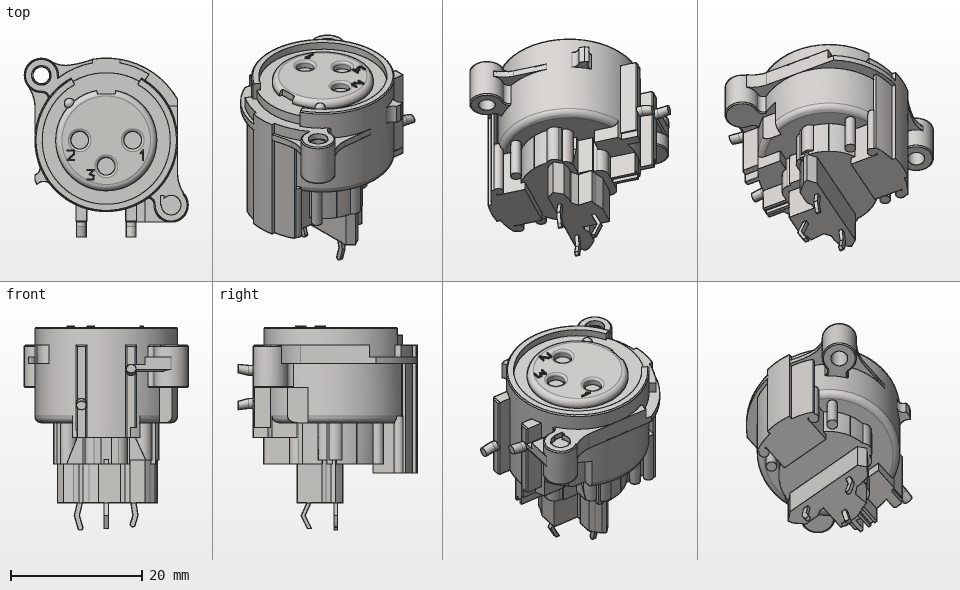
import cadquery as cq
import math


BARREL_R = 10.9
BARREL_BOTTOM = -14.55
BARREL_EDGE_R = 1.03
UNDERSIDE_TOP = BARREL_BOTTOM + BARREL_EDGE_R
RIM_INNER_R = 9.77
RIM_EDGE_R = 0.2
FLOOR_Z = -1.18
REAR_LEDGE_R = 10.3
RIM_GAP_HALF_ANGLE = math.radians(29.5)

EAR_OFFSET = 9.9
EAR_R = 2.6
EAR_TOP = -2.7
EAR_BOTTOM = -9.2
EAR_EDGE = 0.2
NECK_INNER_X = 9.33
EAR_SEAT_R = 10.73
NECK_FILLET = 0.93
EAR_BORE_R = 1.28
EAR_COUNTERBORE_R = 1.5
EAR_COUNTERBORE_DEPTH = 0.9
WEB_TOP = -4.5
WEB_BOTTOM = -5.55

SKIRT_R = 11.98
SKIRT_OUTER_R = 12.55
SKIRT_BOTTOM = -22.25
SKIRT_HALF_WIDTH = 5.38
SKIRT_FRONT_Y = 5.75
TONGUE_HALF_WIDTH = 2.1

DISC_R = 7.7
DISC_EDGE_R = 0.95
DISC_FLAT_Y = 7.05
DISC_FLAT_HALF_WIDTH = 1.35
BUMP_R = 0.8
BUMP_CENTRE_R = 7.9
CONTACT_HOLE_R = 1.35
CONTACT_LIP_R = 0.4
CONTACT_X = 4.05
CONTACT_FRONT_Y = -3.98
MARK_HEIGHT = 0.2

RIB_FACE_Y = -(EAR_OFFSET + EAR_R)
RIB_TOP = EAR_TOP
RIB_X = 3.8
RIB_WIDTH = 1.68
RIB_BACK_Y = -9.33
RIB_EDGE = 0.22
PEG_R = 0.78
PEG_TIP_HALF_HEIGHT = 0.65
PEG_END_Y = -14.78
PEG_BEND_Y = -13.2

FRONT_WALL_BOTTOM = -16.83
FRONT_WALL_HALF_WIDTH = 5.13
FRONT_WALL_BACK_Y = -5.8
INSERT_BOTTOM = -20.85
INSERT_R = 7.6
LEFT_LOBE_BOTTOM = INSERT_BOTTOM
RIGHT_LOBE_BOTTOM = -20.25
BLOCK_BOTTOM = -26.75
CORE_HALF_WIDTH = 3.55


def box(x0, x1, y0, y1, z0, z1):
    return cq.Workplane("XY").box(x1 - x0, y1 - y0, z1 - z0, centered=False).translate((x0, y0, z0))


def disc(radius, z0, z1, x=0.0, y=0.0):
    return cq.Workplane("XY").workplane(offset=z0).center(x, y).circle(radius).extrude(z1 - z0)


def prism(points, z0, z1):
    return cq.Workplane("XY").workplane(offset=z0).polyline(points).close().extrude(z1 - z0)


def polar(radius, angle):
    return (radius * math.cos(angle), radius * math.sin(angle))


def make_barrel():
    body = disc(BARREL_R, BARREL_BOTTOM, 0).faces("<Z").edges().fillet(BARREL_EDGE_R)
    body = body.faces(">Z").edges().chamfer(RIM_EDGE_R)
    body = body.cut(disc(RIM_INNER_R, FLOOR_Z, 0.3))
    reach = 2 * BARREL_R
    a0 = math.pi / 2 - RIM_GAP_HALF_ANGLE
    a1 = math.pi / 2 + RIM_GAP_HALF_ANGLE
    wedge = [(0, 0), polar(reach, a0), polar(reach, a1)]
    body = body.cut(prism(wedge, FLOOR_Z, 0.3))
    outside_ledge = disc(reach, EAR_TOP, 0.3).cut(disc(REAR_LEDGE_R, EAR_TOP, 0.3))
    body = body.cut(outside_ledge.intersect(prism(wedge, EAR_TOP, 0.3)))
    front = box(-FRONT_WALL_HALF_WIDTH, FRONT_WALL_HALF_WIDTH, -BARREL_R, FRONT_WALL_BACK_Y,
                FRONT_WALL_BOTTOM, UNDERSIDE_TOP)
    return body.union(front.intersect(disc(BARREL_R, FRONT_WALL_BOTTOM, 0)))


def cut_corner_recess(body):
    """Open recess in the lower front-right quarter of the barrel."""
    recess_left, recess_right, recess_back = 8.12, 10.08, -4.17
    return body.cut(box(recess_left, recess_right, -BARREL_R, recess_back, BARREL_BOTTOM - 0.3, EAR_BOTTOM))


def make_socket_disc():
    body = disc(DISC_R, FLOOR_Z, 0).faces(">Z").edges().fillet(DISC_EDGE_R)
    half = DISC_FLAT_HALF_WIDTH
    flare = 0.25
    outer_y = DISC_R + 0.3
    keyway = [(-half, DISC_FLAT_Y), (half, DISC_FLAT_Y), (half + flare, outer_y), (-half - flare, outer_y)]
    body = body.cut(prism(keyway, FLOOR_Z, 0.3))
    bump_x, bump_y = polar(BUMP_CENTRE_R, math.radians(135))
    bump_z = FLOOR_Z + 0.25
    bump = disc(BUMP_R, FLOOR_Z, bump_z, bump_x, bump_y)
    bump = bump.union(cq.Workplane("XY").sphere(BUMP_R).translate((bump_x, bump_y, bump_z)))
    bump = bump.intersect(disc(BARREL_R, FLOOR_Z, 0))
    return body.union(bump)


def cut_contact_holes(body):
    for x, y in [(-CONTACT_X, 0), (CONTACT_X, 0), (0, CONTACT_FRONT_Y)]:
        r = CONTACT_HOLE_R
        lip = CONTACT_LIP_R
        mid = lip * (1 - math.sqrt(0.5))
        profile = (
            cq.Workplane("XZ")
            .moveTo(0, FLOOR_Z)
            .lineTo(r, FLOOR_Z)
            .lineTo(r, -lip)
            .threePointArc((r + mid, -mid), (r + lip, 0))
            .lineTo(0, 0)
            .close()
        )
        body = body.cut(profile.revolve(360, (0, 0, 0), (0, 1, 0)).translate((x, y, 0)))
    return body


def make_stroke(points, width):
    """Raised line of the given width through the points, on the disc face."""
    stroke = None
    for (x0, y0), (x1, y1) in zip(points, points[1:]):
        length = math.hypot(x1 - x0, y1 - y0) + width
        angle = math.degrees(math.atan2(y1 - y0, x1 - x0))
        bar = (
            cq.Workplane("XY")
            .box(length, width, 2 * MARK_HEIGHT)
            .rotate((0, 0, 0), (0, 0, 1), angle)
            .translate(((x0 + x1) / 2, (y0 + y1) / 2, 0))
        )
        stroke = bar if stroke is None else stroke.union(bar)
    return stroke


def make_contact_marks():
    """Raised numerals 1, 2 and 3 beside the contact holes."""
    line_width, w, h = 0.15, 0.95, 1.43
    one = [(0, 0.7 * h), (0.35 * w, h), (0.35 * w, 0)]
    two = [(0, h), (w, h), (w, 0.6 * h), (0, 0), (w, 0)]
    three = [(0, h), (w, h), (0.4 * w, 0.55 * h), (w, 0.4 * h), (w, 0), (0, 0)]
    marks = None
    for points, x, y in [(one, 5.25, -3.0), (two, -5.88, -3.0), (three, -2.9, -5.97)]:
        mark = make_stroke(points, line_width).translate((x, y, 0))
        marks = mark if marks is None else marks.union(mark)
    return marks


def make_ear(side):
    """Ear on the rear-left (side = -1) or front-right (side = 1) corner, blended into the barrel."""
    distance = math.hypot(EAR_OFFSET, EAR_OFFSET)
    to_seat = EAR_SEAT_R + NECK_FILLET
    to_ear = EAR_R + NECK_FILLET
    blend_x = (distance**2 + to_seat**2 - to_ear**2) / (2 * distance)
    blend_y = math.sqrt(to_seat**2 - blend_x**2)
    seat_x = blend_x * EAR_SEAT_R / to_seat
    seat_y = blend_y * EAR_SEAT_R / to_seat
    ear_x = distance + (blend_x - distance) * EAR_R / to_ear
    ear_y = blend_y * EAR_R / to_ear
    waist_y = blend_y - NECK_FILLET
    ear = (
        cq.Workplane("XY")
        .workplane(offset=EAR_BOTTOM)
        .moveTo(seat_x, -seat_y)
        .threePointArc((blend_x, -waist_y), (ear_x, -ear_y))
        .threePointArc((distance + EAR_R, 0), (ear_x, ear_y))
        .threePointArc((blend_x, waist_y), (seat_x, seat_y))
        .lineTo(NECK_INNER_X, 0)
        .close()
        .extrude(EAR_TOP - EAR_BOTTOM)
    )
    outer_edges = cq.selectors.BoxSelector(
        (blend_x, -distance, EAR_BOTTOM - 0.3), (2 * distance, distance, EAR_TOP + 0.3))
    ear = ear.faces("<Z or >Z").edges(outer_edges).chamfer(EAR_EDGE)
    return ear.rotate((0, 0, 0), (0, 0, 1), -45 if side > 0 else 135)


def cut_ear_holes(body):
    ear_x = EAR_OFFSET
    cbore_floor = EAR_TOP - EAR_COUNTERBORE_DEPTH
    body = body.cut(disc(EAR_BORE_R, SKIRT_BOTTOM, 0, -ear_x, ear_x))
    for x in (-ear_x, ear_x):
        body = body.cut(disc(EAR_COUNTERBORE_R, cbore_floor, EAR_TOP, x, -x))
    slot_left, slot_right, slot_back = 8.25, 8.8, -8.45
    return body.cut(box(slot_left, slot_right, -ear_x, slot_back, cbore_floor, EAR_TOP))


def make_left_web():
    """Thin web around the rear-left ear: two concave sides that sweep from body to ear."""
    return (
        cq.Workplane("XY")
        .workplane(offset=WEB_BOTTOM)
        .moveTo(-BARREL_R, 0)
        .lineTo(-BARREL_R, 5.3)
        .threePointArc((-11.17, 6.75), (-11.88, 8.18))
        .lineTo(-EAR_OFFSET, EAR_OFFSET)
        .lineTo(-8.18, 11.88)
        .threePointArc((-7.05, 11.5), (-5.65, 11.45))
        .threePointArc((-3.85, 11.8), (-TONGUE_HALF_WIDTH, 12.32))
        .lineTo(-TONGUE_HALF_WIDTH, 9.33)
        .lineTo(-7.47, 6.22)
        .close()
        .extrude(WEB_TOP - WEB_BOTTOM)
    )


def make_rear_flange():
    """Thin flange that fills the large rear radius up to its flat right side."""
    corner_y = math.sqrt(SKIRT_OUTER_R**2 - BARREL_R**2)
    start_y = math.sqrt(SKIRT_OUTER_R**2 - TONGUE_HALF_WIDTH**2)
    middle = polar(SKIRT_OUTER_R, math.radians(56))
    return (
        cq.Workplane("XY")
        .workplane(offset=WEB_BOTTOM)
        .moveTo(TONGUE_HALF_WIDTH, start_y)
        .threePointArc(middle, (BARREL_R, corner_y))
        .lineTo(BARREL_R, 0)
        .lineTo(6.22, 0)
        .lineTo(TONGUE_HALF_WIDTH, 6.22)
        .close()
        .extrude(WEB_TOP - WEB_BOTTOM)
    )


def make_right_web():
    """Web level with the ear tops: flat right side with a concave sweep to the front ear."""
    back_y = 5.23
    return (
        cq.Workplane("XY")
        .workplane(offset=WEB_BOTTOM)
        .moveTo(BARREL_R, back_y)
        .lineTo(BARREL_R, -5.3)
        .threePointArc((11.17, -6.75), (11.88, -8.18))
        .lineTo(EAR_OFFSET, -EAR_OFFSET)
        .lineTo(6.22, -6.22)
        .lineTo(6.22, back_y)
        .close()
        .extrude(EAR_TOP - WEB_BOTTOM)
    )


def make_skirt():
    wide_front_y, narrow_half_width = 10.27, 4.05
    wide = box(-SKIRT_HALF_WIDTH, SKIRT_HALF_WIDTH, wide_front_y, SKIRT_R, SKIRT_BOTTOM, EAR_TOP)
    narrow = box(-narrow_half_width, narrow_half_width, SKIRT_FRONT_Y, SKIRT_R, SKIRT_BOTTOM, EAR_TOP)
    skirt = wide.union(narrow).intersect(disc(SKIRT_R, SKIRT_BOTTOM, EAR_TOP))
    lobe_r, lobe_x, lobe_y = 0.78, 4.82, 9.77
    for side in (-1, 1):
        skirt = skirt.union(disc(lobe_r, SKIRT_BOTTOM, UNDERSIDE_TOP, side * lobe_x, lobe_y))
    left = polar(2 * SKIRT_R, math.radians(130))
    right = polar(2 * SKIRT_R, math.radians(57))
    collar = disc(SKIRT_R, WEB_BOTTOM, EAR_TOP).intersect(prism([(0, 0), right, left], WEB_BOTTOM, EAR_TOP))
    tongue = box(-TONGUE_HALF_WIDTH, TONGUE_HALF_WIDTH, BARREL_R - 1.55, SKIRT_OUTER_R, SKIRT_BOTTOM, EAR_TOP)
    tongue = tongue.intersect(disc(SKIRT_OUTER_R, SKIRT_BOTTOM, EAR_TOP))
    return skirt.union(collar).union(tongue)


def make_snap():
    """Small hooked nub on the left side of the barrel."""
    return (
        cq.Workplane("XY")
        .workplane(offset=WEB_BOTTOM)
        .moveTo(-9.33, -3.73)
        .lineTo(-10.2, -3.8)
        .threePointArc((-10.3, -4.85), (-10.9, -5.3))
        .lineTo(-10.9, -6.13)
        .lineTo(-10.58, -6.75)
        .threePointArc((-9.9, -6.35), (-8.65, -6.55))
        .lineTo(-8.1, -6.22)
        .close()
        .extrude(RIB_TOP - WEB_BOTTOM)
    )


def make_rib(side, long_bottom, short_bottom, cut_edge):
    """Vertical rib on the front; the strip on the outer side of cut_edge stops at short_bottom."""
    x = side * RIB_X
    rib = box(x - RIB_WIDTH / 2, x + RIB_WIDTH / 2, RIB_FACE_Y, RIB_BACK_Y, long_bottom, RIB_TOP)
    rib = rib.faces("<Y").edges("|Z or >Z").chamfer(RIB_EDGE)
    outer_edge = x + side * RIB_WIDTH
    strip = box(min(cut_edge, outer_edge), max(cut_edge, outer_edge), RIB_FACE_Y - 0.3, RIB_BACK_Y,
                long_bottom - 0.3, short_bottom)
    return rib.cut(strip.cut(disc(BARREL_R, long_bottom - 0.3, 0)))


def make_peg(x, z, tip_z):
    """Round locating peg: straight at the rib, then flattened and bent towards tip_z."""
    base = cq.Workplane("XZ", origin=(x, RIB_BACK_Y, z)).circle(PEG_R)
    peg = base.extrude(RIB_BACK_Y - PEG_BEND_Y)
    tip = (
        cq.Workplane("XZ", origin=(x, PEG_BEND_Y, z))
        .circle(PEG_R)
        .workplane(offset=PEG_BEND_Y - PEG_END_Y)
        .center(0, tip_z - z)
        .ellipse(PEG_R, PEG_TIP_HALF_HEIGHT)
        .loft()
    )
    return peg.union(tip)


def make_ear_bar():
    """Bar that ties the right rib to the front ear, with a step down next to the rib."""
    bar_bottom, step_z, step_x, edge_chamfer = -6.72, -5.65, 5.9, 0.28
    bar_back = -7.47
    bar = box(RIB_X, EAR_OFFSET, RIB_FACE_Y, bar_back, bar_bottom, WEB_TOP)
    bar = bar.cut(box(RIB_X, step_x, RIB_FACE_Y - 0.3, bar_back, step_z, WEB_TOP))
    return bar.faces("<Z").edges("<Y").chamfer(edge_chamfer)


def make_insert():
    """Body below the barrel: rounded rear, two side lobes, front core and centre tongue."""
    top = UNDERSIDE_TOP
    rear_part_front_y = -1.25
    insert = disc(INSERT_R, INSERT_BOTTOM, top).intersect(
        box(-INSERT_R, INSERT_R, rear_part_front_y, INSERT_R, INSERT_BOTTOM, top))
    nose_front, nose_back, core_front = -6.95, -3.1, -4.98
    nose_half_width, nose_corner = 3.2, 1.37
    insert = insert.union(box(-CORE_HALF_WIDTH, CORE_HALF_WIDTH, core_front, 0, INSERT_BOTTOM, top))
    nose = box(-nose_half_width, nose_half_width, nose_front, nose_back, INSERT_BOTTOM, top)
    insert = insert.union(nose.edges("|Z and <Y").fillet(nose_corner))
    lobe_r = 1.25
    lobe_spots = [(5.72, -1.35), (6.78, 0.05)]
    flat_half_width, flat_front_y, flat_back_y = 6.85, 1.35, 3.33
    insert = insert.union(
        box(-flat_half_width, flat_half_width, flat_front_y, flat_back_y, INSERT_BOTTOM, top))
    rear_lobe_x, rear_lobe_y, rear_lobe_r = 5.9, 6.55, 0.8
    for side in (-1, 1):
        lobe_bottom = LEFT_LOBE_BOTTOM if side < 0 else RIGHT_LOBE_BOTTOM
        for lobe_x, lobe_y in lobe_spots:
            insert = insert.union(disc(lobe_r, lobe_bottom, top, side * lobe_x, lobe_y))
        insert = insert.union(
            disc(rear_lobe_r, INSERT_BOTTOM, top, side * rear_lobe_x, rear_lobe_y))
    tongue_half_width, tongue_back = 0.8, nose_front + 0.3
    insert = insert.union(
        box(-tongue_half_width, tongue_half_width, -BARREL_R, tongue_back, INSERT_BOTTOM, FRONT_WALL_BOTTOM))
    notch_half_width, notch_top = 0.37, INSERT_BOTTOM + 0.68
    return insert.cut(
        box(-notch_half_width, notch_half_width, -BARREL_R, nose_front, INSERT_BOTTOM, notch_top))


def make_wing(side, bottom):
    """Flat plate with a sloped edge at the front of the lobes on one side."""
    top = UNDERSIDE_TOP
    inner, neck, foot = CORE_HALF_WIDTH, 4.45, 6.05
    outline = [(inner, top), (neck, top), (neck, FRONT_WALL_BOTTOM), (foot, bottom), (inner, bottom)]
    wing_thickness = 2.65
    wing = cq.Workplane("XZ").polyline([(side * x, z) for x, z in outline]).close()
    return wing.extrude(wing_thickness)


def make_block():
    """Terminal block: the bottom-most step, with scalloped front corners."""
    back, shoulder_y, face_y = 1.18, 0.05, -5.8
    right = [
        (6.53, back),
        (7.78, shoulder_y),
        (7.47, -0.62),
        (6.65, -1.37),
        (5.95, -2.0),
        (3.65, -2.0),
        (2.85, -1.5),
        (2.15, -1.5),
        (2.15, face_y),
    ]
    left = [
        (-1.15, face_y),
        (-2.65, -5.1),
        (-3.5, -4.85),
        (-3.2, -2.58),
        (-4.17, -1.7),
        (-4.98, -1.7),
        (-6.53, -1.37),
        (-7.47, shoulder_y),
        (-6.53, back),
    ]
    return prism(right + left, BLOCK_BOTTOM, RIGHT_LOBE_BOTTOM + 0.3)


def make_pin(path, width, tip_drop):
    """Flat bent pin in the XZ plane: path holds (x, z) points; the end is round."""
    thickness = 0.55
    half = width / 2
    right = [(x + half, z) for x, z in path]
    left = [(x - half, z) for x, z in reversed(path)]
    end_x, end_z = path[-1]
    pin = cq.Workplane("XZ").moveTo(*right[0])
    for point in right[1:]:
        pin = pin.lineTo(*point)
    pin = pin.threePointArc((end_x, end_z - tip_drop), left[0])
    for point in left[1:]:
        pin = pin.lineTo(*point)
    return pin.close().extrude(thickness / 2, both=True)


def make_side_pins():
    pin_y, pin_width, tip_drop = 0.1, 0.8, 0.4
    start_z = BLOCK_BOTTOM + 0.3
    bend_z = -28.68
    long_tip = -30.92
    short_tip = -30.43
    left = make_pin([(-3.95, start_z), (-4.48, bend_z), (-3.95, long_tip + tip_drop)], pin_width, tip_drop)
    right = make_pin([(4.1, start_z), (4.45, bend_z), (4.05, short_tip + tip_drop)], pin_width, tip_drop)
    return left.union(right).translate((0, pin_y, 0))


def make_centre_pin():
    half_width, half_thickness = 0.37, 0.3
    path = [(-3.85, BLOCK_BOTTOM + 0.3), (-4.88, -28.7), (-3.92, -30.67)]
    front = [(y - half_thickness, z) for y, z in path]
    back = [(y + half_thickness, z) for y, z in reversed(path)]
    return cq.Workplane("YZ").polyline(front + back).close().extrude(half_width, both=True)


barrel = make_barrel().union(make_skirt()).union(make_rear_flange())
barrel = barrel.union(make_left_web()).union(make_right_web())
for ear_side in (-1, 1):
    barrel = barrel.union(make_ear(ear_side))
barrel = barrel.union(make_ear_bar()).union(make_snap())
barrel = barrel.union(make_rib(-1, FRONT_WALL_BOTTOM, -15.68, -4.45))
barrel = barrel.union(make_rib(1, FRONT_WALL_BOTTOM, -15.25, 3.67))
barrel = barrel.union(make_peg(-RIB_X, -11.6, -11.9)).union(make_peg(RIB_X, -6.55, -6.28))
barrel = cut_corner_recess(cut_ear_holes(barrel))

socket = cut_contact_holes(make_socket_disc()).union(make_contact_marks())
rear = make_insert().union(make_block()).union(make_side_pins()).union(make_centre_pin())
rear = rear.union(make_wing(-1, LEFT_LOBE_BOTTOM)).union(make_wing(1, RIGHT_LOBE_BOTTOM))
result = barrel.union(socket).union(rear)